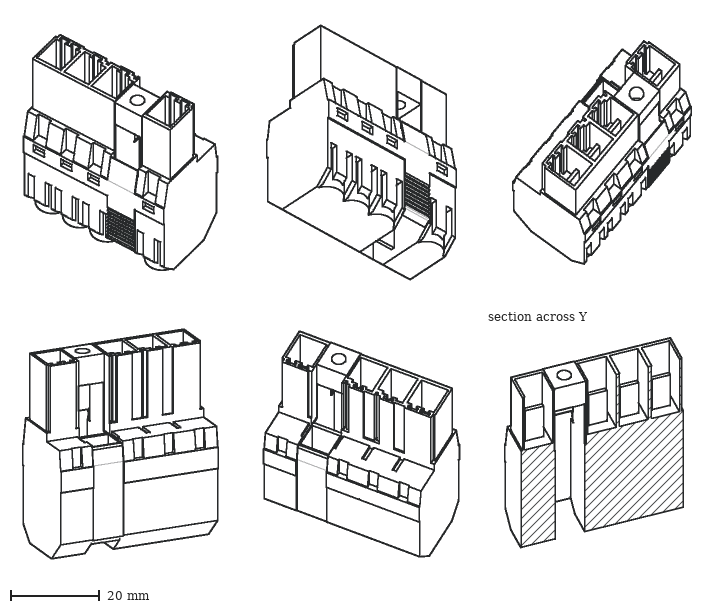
import cadquery as cq
import math


LENGTH = 39.0
PITCH = 7.6
FIRST_POLE = 4.28
MAIN_BLOCK_END = 23.3
SINGLE_BLOCK_START = 30.88
LEFT_WALL = 0.3
RIGHT_WALL = 0.2
BAY_LEFT = MAIN_BLOCK_END + LEFT_WALL
BAY_RIGHT = SINGLE_BLOCK_START - RIGHT_WALL
MAIN_POLES = [FIRST_POLE + i * PITCH for i in range(3)]
SINGLE_POLE = FIRST_POLE + 4 * PITCH
POLES = MAIN_POLES + [SINGLE_POLE]

DEPTH = 20.6
LEDGE = 0.3
FRONT_FACE = LEDGE
REAR_FACE = DEPTH - LEDGE
LEDGE_BOTTOM = 17.37
LEDGE_TOP = 22.45
FRONT_CHAMFER = 3.5
REAR_CHAMFER = 4.9
FRONT_SLOPE_RUN = 1.3
REAR_SLOPE_RUN = 0.65
SHOULDER = 29.15
REAR_SHOULDER = 27.15
STEP_Y = 12.85

FRONT_RECESS = (3.45, 2.35)
REAR_RECESS = (2.4, 19.35)
WINDOW_SIZE = (3.05, 2.15)
WINDOW_BOTTOM = 19.25
WINDOW_DEPTH = 1.0
TOP_SLOTS = 4
TOP_SLOT_WIDTH = 1.0
TOP_SLOT_END = 16.85
TOP_SLOT_DEPTH = 0.68

BARREL_RADIUS = 3.95
BARREL_FRONT = 1.35
BARREL_CENTRE = BARREL_FRONT + BARREL_RADIUS
SLIT_TOP = 10.95
SLIT_WIDTH = 1.65
SLIT_OUTER = 3.2
SLIT_BACK = BARREL_CENTRE - math.sqrt(BARREL_RADIUS**2 - SLIT_OUTER**2)

HEIGHT = 45.0
TOWER_INSET = 0.35
TOWER_FRONT = 2.95
CORNER_NOTCH = (0.5, 1.05)
NOTCH_START = 2.0
NOTCH_MIDDLE = 2.85
NOTCH_END = 3.35
NOTCH_SHALLOW = 0.68
NOTCH_DEEP = 1.35
REAR_RECESS_END = -1.7
SINGLE_RECESS_END = -3.0
TOWER_RECESS_DEPTH = 0.35

SOCKET_HALF = 3.35
KEYED_SOCKET_HALF = 3.38
SOCKET_FRONT = 3.85
SOCKET_REAR = 11.15
KEY_NECK = 1.35
KEY_HEAD = 2.35
KEY_SHOULDER = 11.7
KEY_BACK = 12.25
KEY_OFFSET = 1.55
KEYED_CORNER = 10.5
SOCKET_FLOOR = SHOULDER

CONTACT_WIDTH = 4.4
CONTACT_FRONT = 6.75
CONTACT_BACK = 7.6
CONTACT_BOTTOM = 24.65
CONTACT_TOP = 38.25

BAY_WALL_TOP = 26.5
PLATE_BACK = 1.4
PLATE_TOP = 28.8
PLATE_BOTTOM = 2.7
PLATE_ROUND = 0.68
REAR_PLATE_INNER = 18.7
REAR_PLATE_OUTER = 20.0
REAR_PLATE_CHAMFER = 0.5
REAR_PLATE_FLAT = 0.35
PARTITION = (11.7, 12.6)
FLANGE_FRONT = 2.75
FLANGE_BACK = 10.0
FLANGE_BOTTOM = 38.1
FLANGE_TOP = HEIGHT - 0.1
SCREW_HOLE = 3.2
GROOVES = 8
GRIP_TOP = 13.7
GRIP_BOTTOM = 4.9
GROOVE_DEPTH = 0.35


def box(x0, x1, y0, y1, z0, z1):
    return cq.Workplane("XY").box(x1 - x0, y1 - y0, z1 - z0, centered=False).translate((x0, y0, z0))


def side_profile(points, x0, x1):
    """Extrude a closed (Y, Z) outline from x0 to x1."""
    return cq.Workplane("YZ").polyline(points).close().extrude(x1 - x0).translate((x0, 0, 0))


def lower_block(x0, x1):
    outline = [
        (FRONT_FACE + FRONT_CHAMFER, 0),
        (REAR_FACE - REAR_CHAMFER, 0),
        (REAR_FACE, REAR_CHAMFER),
        (REAR_FACE, LEDGE_BOTTOM),
        (DEPTH, LEDGE_BOTTOM),
        (DEPTH, LEDGE_TOP),
        (REAR_FACE, LEDGE_TOP),
        (REAR_FACE - REAR_SLOPE_RUN, REAR_SHOULDER),
        (STEP_Y, REAR_SHOULDER),
        (STEP_Y, SHOULDER),
        (FRONT_FACE + FRONT_SLOPE_RUN, SHOULDER),
        (FRONT_FACE, LEDGE_TOP),
        (0, LEDGE_TOP),
        (0, LEDGE_BOTTOM),
        (FRONT_FACE, LEDGE_BOTTOM),
        (FRONT_FACE, FRONT_CHAMFER),
    ]
    return side_profile(outline, x0, x1)


def pole_recesses(pole):
    """Slope recesses at the front and rear and the small pocket in the front ledge."""
    front_width, front_wall = FRONT_RECESS
    rear_width, rear_wall = REAR_RECESS
    window_width, window_height = WINDOW_SIZE
    front = box(pole - front_width / 2, pole + front_width / 2, 0, front_wall, LEDGE_TOP, SHOULDER)
    rear = box(pole - rear_width / 2, pole + rear_width / 2, rear_wall, DEPTH, LEDGE_TOP, REAR_SHOULDER)
    window = box(
        pole - window_width / 2, pole + window_width / 2,
        0, WINDOW_DEPTH,
        WINDOW_BOTTOM, WINDOW_BOTTOM + window_height,
    )
    return front.union(rear).union(window)


def top_slot(x):
    """Slot in the rear shoulder, midway between two poles."""
    half = TOP_SLOT_WIDTH / 2
    return box(x - half, x + half, STEP_Y, TOP_SLOT_END, REAR_SHOULDER - TOP_SLOT_DEPTH, REAR_SHOULDER)


def barrel_slits(pole):
    inner = SLIT_OUTER - SLIT_WIDTH
    left = box(pole - SLIT_OUTER, pole - inner, 0, SLIT_BACK, 0, SLIT_TOP)
    right = box(pole + inner, pole + SLIT_OUTER, 0, SLIT_BACK, 0, SLIT_TOP)
    return left.union(right)


def barrel(pole):
    return cq.Workplane("XY").center(pole, BARREL_CENTRE).circle(BARREL_RADIUS).extrude(SLIT_TOP)


def tower(x0, x1):
    return box(x0, x1, TOWER_FRONT, STEP_Y, SHOULDER, HEIGHT)


def corner_notch(x0):
    width, depth = CORNER_NOTCH
    return box(x0, x0 + width, STEP_Y - depth, STEP_Y, SHOULDER, HEIGHT)


def key_notch(pole):
    """Stepped notch in the tower rear at the right of a keyed socket."""
    shallow = box(pole + NOTCH_START, pole + NOTCH_END, STEP_Y - NOTCH_SHALLOW, STEP_Y, SHOULDER, HEIGHT)
    deep = box(pole + NOTCH_MIDDLE, pole + NOTCH_END, STEP_Y - NOTCH_DEEP, STEP_Y, SHOULDER, HEIGHT)
    return shallow.union(deep)


def tower_recess(pole, end):
    """Flat recess in the tower rear, from the previous pole's notch to the given end."""
    start = pole - PITCH + NOTCH_END
    return box(start, pole + end, STEP_Y - TOWER_RECESS_DEPTH, STEP_Y, SHOULDER, HEIGHT)


def key_groove(x):
    """T-shaped groove running down the rear wall of a socket."""
    neck = box(x - KEY_NECK / 2, x + KEY_NECK / 2, SOCKET_REAR, KEY_SHOULDER, SOCKET_FLOOR, HEIGHT)
    head = box(x - KEY_HEAD / 2, x + KEY_HEAD / 2, KEY_SHOULDER, KEY_BACK, SOCKET_FLOOR, HEIGHT)
    return neck.union(head)


def double_key_socket(pole):
    socket = box(pole - SOCKET_HALF, pole + SOCKET_HALF, SOCKET_FRONT, SOCKET_REAR, SOCKET_FLOOR, HEIGHT)
    return socket.union(key_groove(pole - KEY_OFFSET)).union(key_groove(pole + KEY_OFFSET))


def single_key_socket(pole):
    left = pole - KEYED_SOCKET_HALF
    right = pole + KEYED_SOCKET_HALF
    socket = box(left, right, SOCKET_FRONT, KEYED_CORNER, SOCKET_FLOOR, HEIGHT)
    rear = box(left, pole + NOTCH_START, KEYED_CORNER, SOCKET_REAR, SOCKET_FLOOR, HEIGHT)
    rear_left = box(left, pole + REAR_RECESS_END, SOCKET_REAR, KEY_SHOULDER, SOCKET_FLOOR, HEIGHT)
    return socket.union(rear).union(rear_left).union(key_groove(pole))


def contact(pole):
    half = CONTACT_WIDTH / 2
    return box(pole - half, pole + half, CONTACT_FRONT, CONTACT_BACK, CONTACT_BOTTOM, CONTACT_TOP)


def front_plate():
    """Front plate of the bay, with a sloped top, a rounded lower edge and a 45 degree bottom."""
    corner_z = PLATE_BOTTOM + PLATE_BACK
    tangent = PLATE_ROUND * math.tan(math.pi / 8)
    diagonal = math.sqrt(0.5)
    arc_end = (tangent * diagonal, corner_z - tangent * diagonal)
    sweep = math.pi / 8
    arc_middle = (
        PLATE_ROUND * (1 - math.cos(sweep)),
        corner_z + tangent - PLATE_ROUND * math.sin(sweep),
    )
    slope_run = FRONT_SLOPE_RUN * (PLATE_TOP - LEDGE_TOP) / (SHOULDER - LEDGE_TOP)
    plate = (
        cq.Workplane("YZ")
        .moveTo(PLATE_BACK, PLATE_BOTTOM)
        .lineTo(PLATE_BACK, PLATE_TOP)
        .lineTo(slope_run, PLATE_TOP)
        .lineTo(0, LEDGE_TOP)
        .lineTo(0, corner_z + tangent)
        .threePointArc(arc_middle, arc_end)
        .close()
        .extrude(SINGLE_BLOCK_START - MAIN_BLOCK_END)
    )
    return plate.translate((MAIN_BLOCK_END, 0, 0))


def grip_groove(top, period):
    """Groove with 45 degree flanks, so that neighbouring grooves meet in a sharp rib."""
    outline = [
        (0, top),
        (GROOVE_DEPTH, top - GROOVE_DEPTH),
        (GROOVE_DEPTH, top - period + GROOVE_DEPTH),
        (0, top - period),
    ]
    return side_profile(outline, MAIN_BLOCK_END, SINGLE_BLOCK_START)


def rear_plate():
    chamfer_start = REAR_FACE - REAR_CHAMFER
    flat_end = REAR_PLATE_INNER + REAR_PLATE_FLAT
    outline = [
        (REAR_PLATE_INNER, REAR_PLATE_INNER - chamfer_start),
        (REAR_PLATE_OUTER, REAR_PLATE_OUTER - chamfer_start),
        (REAR_PLATE_OUTER, LEDGE_TOP),
        (flat_end + REAR_PLATE_CHAMFER, BAY_WALL_TOP - REAR_PLATE_CHAMFER),
        (flat_end, BAY_WALL_TOP),
        (REAR_PLATE_INNER, BAY_WALL_TOP),
    ]
    return side_profile(outline, MAIN_BLOCK_END, SINGLE_BLOCK_START)


def bay_wall(x0, x1):
    """Thin wall lining the end of a block inside the bay."""
    front_start = FRONT_FACE + FRONT_CHAMFER
    rear_start = REAR_FACE - REAR_CHAMFER
    outline = [
        (front_start, 0),
        (rear_start, 0),
        (REAR_PLATE_INNER, REAR_PLATE_INNER - rear_start),
        (REAR_PLATE_INNER, BAY_WALL_TOP),
        (PLATE_BACK, BAY_WALL_TOP),
        (PLATE_BACK, LEDGE_TOP),
        (FRONT_FACE, LEDGE_TOP),
        (FRONT_FACE, FRONT_CHAMFER),
    ]
    return side_profile(outline, x0, x1)


def screw_flange():
    """Bridge with a vertical screw hole, on two thin legs beside the towers."""
    frame = box(MAIN_BLOCK_END, SINGLE_BLOCK_START, FLANGE_FRONT, FLANGE_BACK, BAY_WALL_TOP, FLANGE_TOP)
    opening = box(BAY_LEFT, BAY_RIGHT, FLANGE_FRONT, FLANGE_BACK, BAY_WALL_TOP, FLANGE_BOTTOM)
    hole = (
        cq.Workplane("XY")
        .center((MAIN_BLOCK_END + SINGLE_BLOCK_START) / 2, (FLANGE_FRONT + FLANGE_BACK) / 2)
        .circle(SCREW_HOLE / 2)
        .extrude(HEIGHT)
    )
    return frame.cut(opening).cut(hole)


def build_housing():
    body = lower_block(0, MAIN_BLOCK_END).union(lower_block(SINGLE_BLOCK_START, LENGTH))
    for pole in POLES:
        body = body.cut(pole_recesses(pole)).cut(barrel_slits(pole))
    for i in range(TOP_SLOTS):
        body = body.cut(top_slot(FIRST_POLE + (i + 0.5) * PITCH))

    body = body.union(bay_wall(MAIN_BLOCK_END, BAY_LEFT))
    body = body.union(bay_wall(BAY_RIGHT, SINGLE_BLOCK_START))
    body = body.union(box(MAIN_BLOCK_END, SINGLE_BLOCK_START, *PARTITION, PLATE_BOTTOM, BAY_WALL_TOP))
    plate = front_plate()
    period = (GRIP_TOP - GRIP_BOTTOM) / GROOVES
    for i in range(GROOVES):
        plate = plate.cut(grip_groove(GRIP_TOP - i * period, period))
    body = body.union(plate).union(rear_plate())

    main_tower = tower(TOWER_INSET, MAIN_BLOCK_END).cut(corner_notch(TOWER_INSET))
    for pole in MAIN_POLES[1:]:
        main_tower = main_tower.cut(tower_recess(pole, REAR_RECESS_END))
        main_tower = main_tower.cut(key_notch(pole)).cut(single_key_socket(pole))
    main_tower = main_tower.cut(tower_recess(SINGLE_POLE - PITCH, REAR_RECESS_END))
    main_tower = main_tower.cut(double_key_socket(MAIN_POLES[0]))
    tower_end = LENGTH - TOWER_INSET
    single_tower = tower(SINGLE_BLOCK_START, tower_end).cut(corner_notch(tower_end - CORNER_NOTCH[0]))
    single_tower = single_tower.cut(tower_recess(SINGLE_POLE, SINGLE_RECESS_END))
    single_tower = single_tower.cut(double_key_socket(SINGLE_POLE))
    body = body.union(main_tower).union(single_tower).union(screw_flange())

    for pole in POLES:
        body = body.union(barrel(pole)).cut(contact(pole))
    return body


housing = build_housing()
contacts = [contact(pole).val() for pole in POLES]

result = cq.Compound.makeCompound([housing.solids().val(), *contacts])